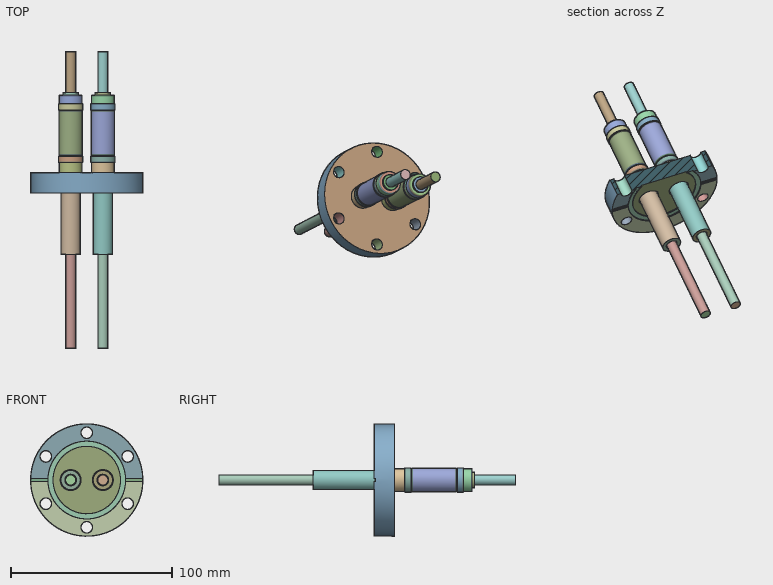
import cadquery as cq
flange_diameter = 69.85
flange_thickness = 12.7
bolt_circle_diameter = 58.7
bolt_hole_diameter = 7.0
bolt_count = 6

outer_recess_diameter = 48.3
inner_recess_diameter = 41.9
recess_step_depth = 0.7
recess_floor = 2 * recess_step_depth

groove_width = 1.8
groove_depth = 0.6

overall_length = 184.15
rod_diameter = 6.35
rod_spacing = 20.0
rod_rear_reach = 75.05
rod_front_reach = overall_length - flange_thickness - rod_rear_reach

tube_diameter = 12.0
tube_bore_diameter = 7.2
tube_length = 38.0
tube_gap = 0.5
tube_gap_depth = 2.0

sleeve_diameter = 14.3
collar_diameter = 15.2
ceramic_diameter = 14.7
washer_diameter = 9.8
near_collar_start = 6.2
collar_length = 3.9
ceramic_length = 28.8
cap_length = 5.3
washer_length = 1.6
ceramic_fillet = 1.1
outer_edge_fillet = 0.5

near_collar_end = near_collar_start + collar_length
far_collar_start = near_collar_end + ceramic_length
far_collar_end = far_collar_start + collar_length
cap_end = far_collar_end + cap_length
washer_end = cap_end + washer_length


def cylinder(diameter, start, end, x=0.0):
    """Cylinder along Y from y = start to y = end, centred on (x, z = 0)."""
    plane = cq.Workplane("XZ", origin=(x, start, 0))
    return plane.circle(diameter / 2).extrude(start - end)


def make_flange():
    flange = cylinder(flange_diameter, 0, flange_thickness)
    flange = flange.cut(make_bolt_holes())
    return flange.cut(make_seal_recess()).cut(make_grooves())


def make_bolt_holes():
    top_angle = 90
    centres = cq.Workplane("XZ").polarArray(bolt_circle_diameter / 2, top_angle, 360, bolt_count)
    return centres.circle(bolt_hole_diameter / 2).extrude(-flange_thickness)


def make_seal_recess():
    outer_step = cylinder(outer_recess_diameter, 0, recess_step_depth)
    inner_step = cylinder(inner_recess_diameter, 0, recess_floor)
    return outer_step.union(inner_step)


def make_grooves():
    return cq.Workplane("XY").box(
        flange_diameter, groove_depth, groove_width, centered=(True, False, True)
    )


def make_insulator(x):
    rear = flange_thickness
    stack = cylinder(sleeve_diameter, rear, rear + cap_end, x)
    stack = stack.faces(">Y").edges().fillet(outer_edge_fillet)

    near_collar = cylinder(collar_diameter, rear + near_collar_start, rear + near_collar_end, x)
    far_collar = cylinder(collar_diameter, rear + far_collar_start, rear + far_collar_end, x)
    stack = stack.union(near_collar.faces("<Y").edges().fillet(outer_edge_fillet))
    stack = stack.union(far_collar.faces(">Y").edges().fillet(outer_edge_fillet))

    ceramic = cylinder(ceramic_diameter, rear + near_collar_end, rear + far_collar_start, x)
    stack = stack.union(ceramic.edges().fillet(ceramic_fillet))
    return stack.union(cylinder(washer_diameter, rear + cap_end, rear + washer_end, x))


def make_tube_clearance(x):
    """Clearance bore in the recess floor with a conical weld bead at its bottom."""
    tube_radius = tube_diameter / 2
    clearance_radius = tube_radius + tube_gap
    bottom = recess_floor + tube_gap_depth
    profile = (
        cq.Workplane("XY")
        .moveTo(tube_radius, recess_floor)
        .lineTo(clearance_radius, recess_floor)
        .lineTo(clearance_radius, bottom)
        .lineTo(tube_radius, bottom - tube_gap)
        .close()
    )
    return profile.revolve(360, (0, 0, 0), (0, 1, 0)).translate((x, 0, 0))


def make_tube(x):
    tube = cylinder(tube_diameter, -tube_length, recess_floor, x)
    return tube.cut(cylinder(tube_bore_diameter, -tube_length, recess_floor, x))


def make_rod(x):
    return cylinder(rod_diameter, -rod_front_reach, flange_thickness + rod_rear_reach, x)


result = make_flange()
for side in (-1, 1):
    axis_x = side * rod_spacing / 2
    result = result.cut(make_tube_clearance(axis_x))
    for feature in (make_tube, make_insulator, make_rod):
        result = result.union(feature(axis_x))